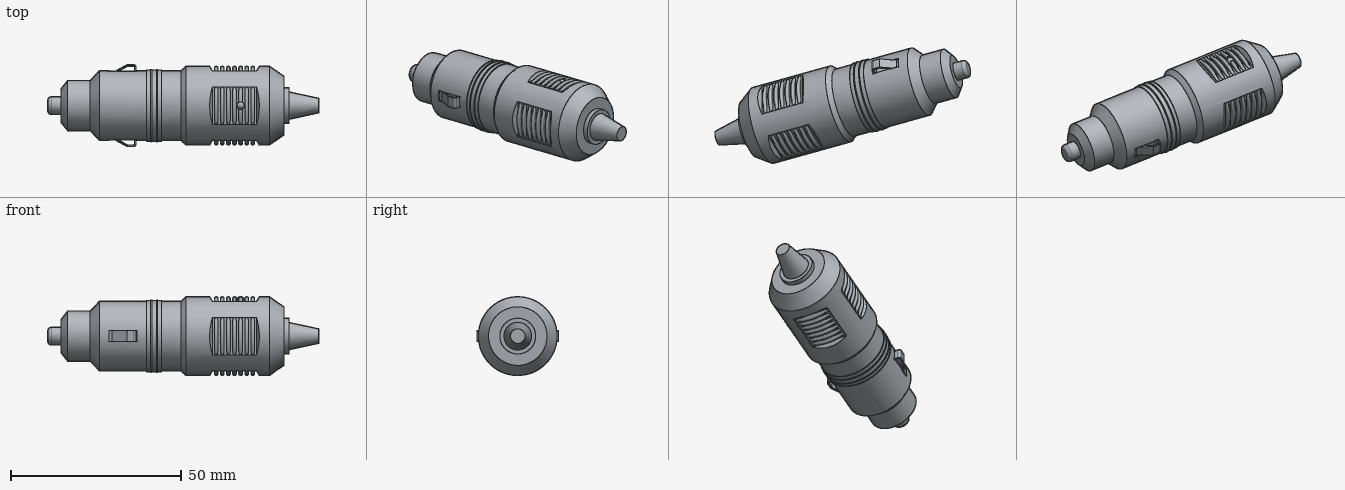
import cadquery as cq
import math

total_length = 79.7

tip_length = 3.9
tip_radius = 2.6
tip_rounding = 1.1

nose_face_radius = 4.95
nose_radius = 7.4
nose_cone_end = 5.9
nose_end = 12.5
plug_radius = 10.3
plug_start = 15.2

band_start = 29.1
band_end = 33.5
band_radius = 10.5
ridge_height = 0.15
ridge_centres = (30.45, 32.1)

handle_cone_start = 39.2
handle_start = 40.65
handle_end = 65.2
handle_diameter = 23.2
handle_radius = handle_diameter / 2
handle_rear_face = 69.5
handle_rear_radius = 8.6

collar_end = 70.9
collar_radius = 5.3
relief_start_radius = 4.1
relief_end_radius = 2.15

grip_count = 4
grip_centre = 54.9
grip_floor_height = 10.2
grip_floor_length = 12.9
grip_top_length = 14.6
fin_count = 7
fin_span = 10.75
fin_pitch = fin_span / (fin_count - 1)
fin_width = 1.1

dome_radius = 1.1
dome_centre = grip_centre + fin_pitch

clip_width = 3.3
clip_thickness = 0.5
clip_start = 18.1
clip_ramp_start = 19.0
clip_ramp_end = 23.35
clip_end = 26.0
clip_crest_height = 12.0
clip_foot_height = 9.65
clip_bend_radius = 0.7
slot_floor_height = clip_foot_height - clip_thickness
slot_end = 26.2


def revolve_about_x(profile):
    """Turn an open XY profile that starts and ends on the X axis."""
    return profile.close().revolve(360, (0, 0, 0), (1, 0, 0))


def make_tip():
    """Round contact with a rounded front edge, butting against the nose face."""
    tip = cq.Workplane("YZ").circle(tip_radius).extrude(tip_length)
    return tip.faces("<X").edges().fillet(tip_rounding)


def round_rim_disc(centre, half_width, rim_radius):
    """Disc on the X axis whose rim is a half-round as wide as the disc."""
    shoulder = rim_radius - half_width
    outline = (
        cq.Workplane("XY")
        .moveTo(centre - half_width, 0)
        .lineTo(centre - half_width, shoulder)
        .threePointArc((centre, rim_radius), (centre + half_width, shoulder))
        .lineTo(centre + half_width, 0)
    )
    return revolve_about_x(outline)


def housing_blank():
    """Turned outline from the nose to the end of the strain relief."""
    outline = cq.Workplane("XY").polyline([
        (tip_length, 0),
        (tip_length, nose_face_radius),
        (nose_cone_end, nose_radius),
        (nose_end, nose_radius),
        (plug_start, plug_radius),
        (band_start, plug_radius),
        (band_start, band_radius),
        (band_end, band_radius),
        (band_end, plug_radius),
        (handle_cone_start, plug_radius),
        (handle_start, handle_radius),
        (handle_end, handle_radius),
        (handle_rear_face, handle_rear_radius),
        (handle_rear_face, collar_radius),
        (collar_end, collar_radius),
        (collar_end, relief_start_radius),
        (total_length, relief_end_radius),
        (total_length, 0),
    ])
    blank = revolve_about_x(outline)
    for centre in ridge_centres:
        blank = blank.union(round_rim_disc(centre, ridge_height, band_radius + ridge_height))
    return blank


def grip_cutter():
    """Flat-bottomed pocket with sloping end walls on the +Z side, less the fins left standing in it."""
    cutter = (
        cq.Workplane("XZ")
        .polyline([
            (grip_centre - grip_floor_length / 2, grip_floor_height),
            (grip_centre - grip_top_length / 2, handle_radius),
            (grip_centre + grip_top_length / 2, handle_radius),
            (grip_centre + grip_floor_length / 2, grip_floor_height),
        ])
        .close()
        .extrude(handle_radius, both=True)
    )
    for index in range(fin_count):
        fin_centre = grip_centre - fin_span / 2 + index * fin_pitch
        cutter = cutter.cut(round_rim_disc(fin_centre, fin_width / 2, handle_radius))
    return cutter


def dome_post(height):
    """Round post standing on the floor of the top grip, as wide as the dome."""
    floor = cq.Workplane("XY").workplane(offset=grip_floor_height)
    return floor.center(dome_centre, 0).circle(dome_radius).extrude(height)


def make_dome():
    """Hemisphere on a short post, level with the fin crests."""
    post = dome_post(handle_radius - grip_floor_height)
    ball = cq.Workplane("XY").sphere(dome_radius).translate((dome_centre, 0, handle_radius - dome_radius))
    stem = dome_post(handle_radius - dome_radius - grip_floor_height)
    return post.intersect(ball.union(stem))


def make_slot(side):
    """Recess for a spring clip; side is +1 for +Y and -1 for -Y."""
    depth = plug_radius - slot_floor_height
    return cq.Workplane("XY").box(
        slot_end - clip_start, depth, clip_width, centered=(False, True, True)
    ).translate((clip_start, side * (slot_floor_height + depth / 2), 0))


def make_clip(side):
    """Bent strip: a foot on the slot floor, a ramp, a crest and a leg back down to the floor."""
    ramp_angle = math.atan2(clip_crest_height - clip_foot_height, clip_ramp_end - clip_ramp_start)
    corner_shift = clip_thickness * math.tan(ramp_angle / 2)
    inner_crest = clip_crest_height - clip_thickness
    inner_leg = clip_end - clip_thickness
    inner_bend_radius = clip_bend_radius - clip_thickness
    bend_x = clip_end - clip_bend_radius
    bend_y = clip_crest_height - clip_bend_radius
    diagonal = math.cos(math.radians(45))
    strip = (
        cq.Workplane("XY")
        .moveTo(clip_start, slot_floor_height)
        .lineTo(clip_start, clip_foot_height)
        .lineTo(clip_ramp_start, clip_foot_height)
        .lineTo(clip_ramp_end, clip_crest_height)
        .lineTo(bend_x, clip_crest_height)
        .threePointArc(
            (bend_x + clip_bend_radius * diagonal, bend_y + clip_bend_radius * diagonal),
            (clip_end, bend_y),
        )
        .lineTo(clip_end, slot_floor_height)
        .lineTo(inner_leg, slot_floor_height)
        .lineTo(inner_leg, bend_y)
        .threePointArc(
            (bend_x + inner_bend_radius * diagonal, bend_y + inner_bend_radius * diagonal),
            (bend_x, inner_crest),
        )
        .lineTo(clip_ramp_end + corner_shift, inner_crest)
        .lineTo(clip_ramp_start + corner_shift, slot_floor_height)
        .close()
        .extrude(clip_width / 2, both=True)
    )
    return strip if side > 0 else strip.mirror("XZ")


def make_housing():
    housing = housing_blank()
    cutter = grip_cutter()
    for index in range(grip_count):
        angle = index * 360 / grip_count
        housing = housing.cut(cutter.rotate((0, 0, 0), (1, 0, 0), angle))
    for side in (1, -1):
        housing = housing.cut(make_slot(side))
    return housing.cut(dome_post(handle_radius - grip_floor_height))


tip = make_tip()
dome = make_dome()
clips = [make_clip(side) for side in (1, -1)]
housing = make_housing()

result = cq.Compound.makeCompound([
    housing.val(),
    tip.val(),
    dome.val(),
    *[clip.val() for clip in clips],
])